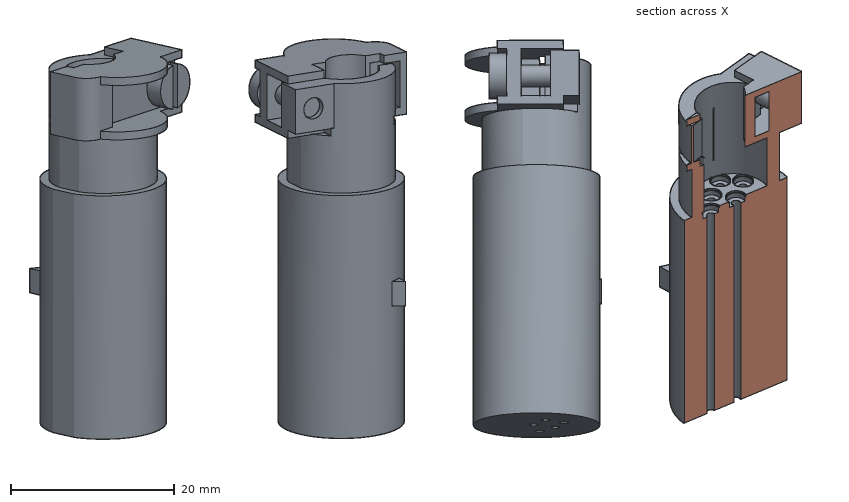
import cadquery as cq
import math

CLAMP_ANGLE = 15

TOTAL_HEIGHT = 46.25
SHOULDER_Z = 31.05
CLAMP_BOTTOM_Z = 38.3
RING_TOP_Z = 45.0
PLATE_THICKNESS = 1.0
LOWER_PLATE_TOP_Z = CLAMP_BOTTOM_Z + PLATE_THICKNESS
UPPER_PLATE_BOTTOM_Z = TOTAL_HEIGHT - PLATE_THICKNESS
SCREW_Z = (LOWER_PLATE_TOP_Z + UPPER_PLATE_BOTTOM_Z) / 2

BARREL_RADIUS = 7.75
NECK_RADIUS = 6.65
BORE_RADIUS = 4.7
FLAT_DEPTH = 0.2

KEY_TIP_RADIUS = 9.15
KEY_HALF_ANGLE = 6.5
KEY_DIRECTION = 225 - CLAMP_ANGLE
KEY_BOTTOM_Z = 16.05
KEY_HEIGHT = 3.1

CONTACT_POSITIONS = [(-1.15, 3.3), (-3.38, 1.55), (0.32, 0.2), (-2.3, -1.4), (-0.35, -3.75)]
CONTACT_HOLE_RADIUS = 0.55
CONTACT_RECESS_RADIUS = 1.15
CONTACT_RECESS_DEPTH = 0.92
CONTACT_RIM_RADIUS = 1.3
CONTACT_RIM_DEPTH = 0.25

SADDLE_RIGHT = 4.7
LUG_SIDE = 9.45
ARM_SIDE = -8.45
ARM_LEFT = -1.4
ARM_THICKNESS = 0.95
CORNER_RADIUS = 2.2
TONGUE_LEFT = -3.38
TONGUE_SIDE = 4.3
STEP_SIDE = -5.25
SADDLE_FACE = -0.35
LOBE_CENTER = (2.65, -0.45)
LOBE_RADIUS = 6.15
CABLE_CENTER = (-1.85, -0.4)
CABLE_RADIUS = 3.2
CORE_UPPER_SIDE = 2.7
CORE_LOWER_SIDE = -3.9

HALF_GAP = 1.8
LUG_THICKNESS = 1.75
LUG_BACK = HALF_GAP + LUG_THICKNESS
EAR_LEFT = -5.3
RING_END = -1.1
SLOT_SIDE = -4.8

SCREW_SIDE = 6.95
SCREW_RADIUS = 1.35
SCREW_RECESS = 0.85
HEAD_RADIUS = 2.8
HEAD_END = 5.75
SCREW_SLOT_WIDTH = 0.8
SCREW_SLOT_DEPTH = 1.1


def block(left, right, lower, upper, bottom, top):
    """Axis-aligned box between the given limits in X, Y and Z."""
    size = (right - left, upper - lower, top - bottom)
    return cq.Workplane().box(*size, centered=False).translate((left, lower, bottom))


def disc(radius, bottom, top, center=(0, 0)):
    """Upright cylinder between two heights."""
    return cq.Workplane().workplane(offset=bottom).center(*center).circle(radius).extrude(top - bottom)


def rod(radius, left, right):
    """Cylinder on the clamp screw axis."""
    plane = cq.Plane(origin=(left, SCREW_SIDE, SCREW_Z), xDir=(0, 1, 0), normal=(1, 0, 0))
    return cq.Workplane(plane).circle(radius).extrude(right - left)


def chord_half(radius, offset):
    """Half length of a chord lying at the given offset from the centre."""
    return math.sqrt(radius**2 - offset**2)


def make_barrel():
    """Barrel with one flat on the arm side of the clamp."""
    barrel = disc(BARREL_RADIUS, 0, SHOULDER_Z)
    flat_face = BARREL_RADIUS - FLAT_DEPTH
    keep = block(-BARREL_RADIUS, BARREL_RADIUS, -flat_face, BARREL_RADIUS, 0, SHOULDER_Z)
    return barrel.intersect(keep)


def make_key():
    """Wedge reaching from the axis to the tip of the key rib."""

    def polar(radius, angle):
        turn = math.radians(angle)
        return (radius * math.cos(turn), radius * math.sin(turn))

    outline = [
        (0, 0),
        polar(BARREL_RADIUS, KEY_DIRECTION - KEY_HALF_ANGLE),
        polar(KEY_TIP_RADIUS, KEY_DIRECTION),
        polar(BARREL_RADIUS, KEY_DIRECTION + KEY_HALF_ANGLE),
    ]
    return cq.Workplane().workplane(offset=KEY_BOTTOM_Z).polyline(outline).close().extrude(KEY_HEIGHT)


def make_tube(bottom, top):
    """Stretch of the round neck tube."""
    return disc(NECK_RADIUS, bottom, top).cut(disc(BORE_RADIUS, bottom, top))


def make_neck():
    """Neck between shoulder and clamp, with a flat on both sides."""
    flat_face = NECK_RADIUS - FLAT_DEPTH
    heights = (SHOULDER_Z, CLAMP_BOTTOM_Z)
    keep = block(-NECK_RADIUS, NECK_RADIUS, -flat_face, flat_face, *heights)
    return make_tube(*heights).intersect(keep)


def make_plate(bottom):
    """Saddle plate: tongue, rounded lobe, arm corner and cable notch."""
    lobe_half = chord_half(LOBE_RADIUS, SADDLE_RIGHT - LOBE_CENTER[0])
    cable_half = chord_half(CABLE_RADIUS, SADDLE_FACE - CABLE_CENTER[0])
    return (
        cq.Workplane()
        .workplane(offset=bottom)
        .moveTo(TONGUE_LEFT, LUG_SIDE)
        .lineTo(SADDLE_RIGHT, LUG_SIDE)
        .lineTo(SADDLE_RIGHT, LOBE_CENTER[1] + lobe_half)
        .threePointArc(
            (LOBE_CENTER[0] + LOBE_RADIUS, LOBE_CENTER[1]),
            (SADDLE_RIGHT, LOBE_CENTER[1] - lobe_half),
        )
        .lineTo(SADDLE_RIGHT, ARM_SIDE + CORNER_RADIUS)
        .radiusArc((SADDLE_RIGHT - CORNER_RADIUS, ARM_SIDE), CORNER_RADIUS)
        .lineTo(ARM_LEFT, ARM_SIDE)
        .lineTo(ARM_LEFT, STEP_SIDE)
        .lineTo(SADDLE_FACE, STEP_SIDE)
        .lineTo(SADDLE_FACE, CABLE_CENTER[1] - cable_half)
        .threePointArc(
            (CABLE_CENTER[0] + CABLE_RADIUS, CABLE_CENTER[1]),
            (SADDLE_FACE, CABLE_CENTER[1] + cable_half),
        )
        .lineTo(SADDLE_FACE, TONGUE_SIDE)
        .lineTo(TONGUE_LEFT, TONGUE_SIDE)
        .close()
        .extrude(PLATE_THICKNESS)
    )


def make_saddle_block():
    """Core, lug and arm standing between the two plates."""
    heights = (LOWER_PLATE_TOP_Z, UPPER_PLATE_BOTTOM_Z)
    lug = block(HALF_GAP, LUG_BACK, ARM_SIDE + ARM_THICKNESS, LUG_SIDE, *heights)
    core = block(SADDLE_FACE, LUG_BACK, CORE_LOWER_SIDE, CORE_UPPER_SIDE, *heights)
    core = core.cut(disc(CABLE_RADIUS, *heights, center=CABLE_CENTER))
    corner = block(HALF_GAP, SADDLE_RIGHT, ARM_SIDE, CORE_LOWER_SIDE, *heights)
    arm = block(ARM_LEFT, SADDLE_RIGHT, ARM_SIDE, ARM_SIDE + ARM_THICKNESS, *heights)
    wall = arm.union(corner).edges("|Z and >X and <Y").fillet(CORNER_RADIUS)
    return lug.union(core).union(wall)


def make_ring():
    """Half ring of the clamp with its ear, on the slotted stretch of neck."""
    slotted = make_tube(CLAMP_BOTTOM_Z, LOWER_PLATE_TOP_Z).intersect(
        block(-NECK_RADIUS, NECK_RADIUS, SLOT_SIDE, TONGUE_SIDE, CLAMP_BOTTOM_Z, LOWER_PLATE_TOP_Z)
    )
    heights = (LOWER_PLATE_TOP_Z, RING_TOP_Z)
    half = make_tube(*heights).intersect(
        block(-NECK_RADIUS, RING_END, -NECK_RADIUS, NECK_RADIUS, *heights)
    )
    ear = block(EAR_LEFT, -HALF_GAP, 0, LUG_SIDE, *heights).cut(disc(BORE_RADIUS, *heights))
    return slotted.union(half).union(ear)


def make_screw():
    shank = rod(SCREW_RADIUS, EAR_LEFT + SCREW_RECESS, LUG_BACK)
    head = rod(HEAD_RADIUS, LUG_BACK, HEAD_END)
    slot = block(
        HEAD_END - SCREW_SLOT_DEPTH,
        HEAD_END,
        SCREW_SIDE - SCREW_SLOT_WIDTH / 2,
        SCREW_SIDE + SCREW_SLOT_WIDTH / 2,
        SCREW_Z - HEAD_RADIUS,
        SCREW_Z + HEAD_RADIUS,
    )
    return shank.union(head.cut(slot))


def make_contact_cuts():
    """Through holes, each with a stepped recess below the shoulder."""

    def drill(radius, depth):
        start = cq.Workplane().workplane(offset=SHOULDER_Z - depth)
        return start.pushPoints(CONTACT_POSITIONS).circle(radius).extrude(depth)

    holes = drill(CONTACT_HOLE_RADIUS, SHOULDER_Z)
    recesses = drill(CONTACT_RECESS_RADIUS, CONTACT_RECESS_DEPTH)
    rims = drill(CONTACT_RIM_RADIUS, CONTACT_RIM_DEPTH)
    return holes.union(recesses).union(rims)


shell = make_barrel().union(make_key()).cut(make_contact_cuts())
shell = shell.union(make_neck())
shell = shell.union(make_ring().cut(rod(SCREW_RADIUS, EAR_LEFT, -HALF_GAP)))

saddle = make_plate(CLAMP_BOTTOM_Z).union(make_plate(UPPER_PLATE_BOTTOM_Z)).union(make_saddle_block())

result = shell.union(saddle).union(make_screw())
result = result.rotate((0, 0, 0), (0, 0, 1), CLAMP_ANGLE)